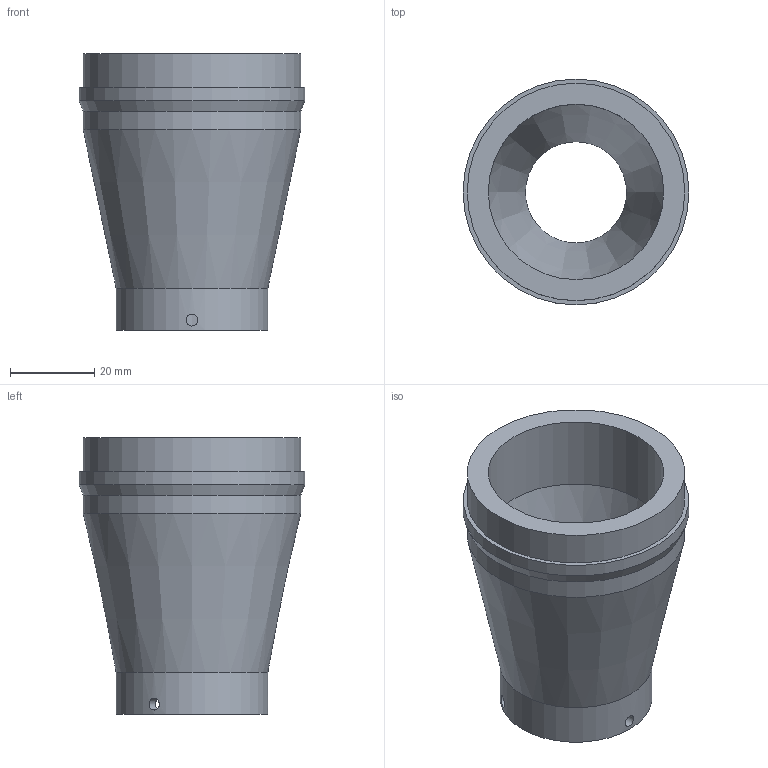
import cadquery as cq

total_height = 65.6
neck_height = 10.0
cone_top = 47.6
flange_taper_start = 52.0
flange_bottom = 54.5
flange_top = 57.6

neck_diameter = 36.0
body_diameter = 51.6
flange_diameter = 53.6

top_bore_diameter = 41.6
throat_diameter = 24.0
neck_bore_diameter = 30.0

pin_hole_diameter = 2.8
pin_hole_height = 2.4
pin_hole_count = 3
first_pin_hole_angle = -90.0

full_turn = 360.0


def revolved_body():
    """Revolve the half section, walls and bores together, about Z."""
    neck_radius = neck_diameter / 2
    body_radius = body_diameter / 2
    flange_radius = flange_diameter / 2
    top_bore_radius = top_bore_diameter / 2
    throat_radius = throat_diameter / 2
    neck_bore_radius = neck_bore_diameter / 2

    section = [
        (neck_bore_radius, 0),
        (neck_radius, 0),
        (neck_radius, neck_height),
        (body_radius, cone_top),
        (body_radius, flange_taper_start),
        (flange_radius, flange_bottom),
        (flange_radius, flange_top),
        (body_radius, flange_top),
        (body_radius, total_height),
        (top_bore_radius, total_height),
        (top_bore_radius, cone_top),
        (throat_radius, neck_height),
        (neck_bore_radius, neck_height),
    ]
    return cq.Workplane("XZ").polyline(section).close().revolve(full_turn, (0, 0), (0, 1))


def pin_hole_cutter(angle):
    """Cylinder running outward from the axis, at an angle in degrees from +X."""
    return (
        cq.Workplane("YZ")
        .center(0, pin_hole_height)
        .circle(pin_hole_diameter / 2)
        .extrude(neck_diameter)
        .rotate((0, 0, 0), (0, 0, 1), angle)
    )


result = revolved_body()
for index in range(pin_hole_count):
    hole_angle = first_pin_hole_angle + index * full_turn / pin_hole_count
    result = result.cut(pin_hole_cutter(hole_angle))